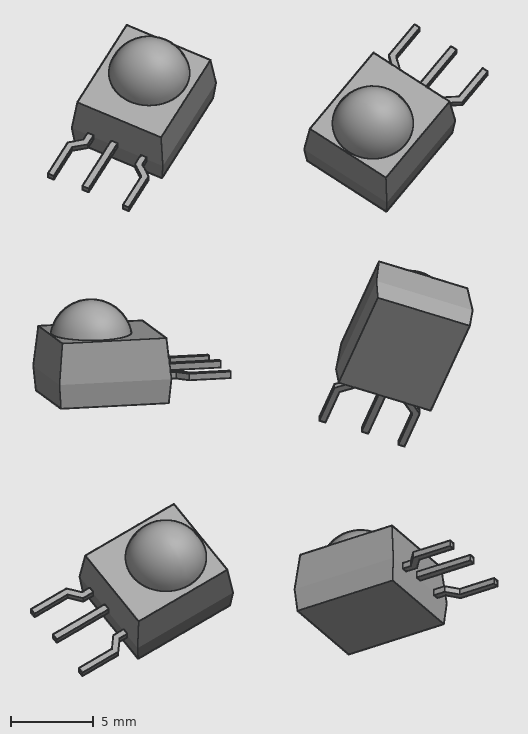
import cadquery as cq
import math

body_width = 6.2
body_length = 7.0
upper_height = 2.5
lower_height = 1.5
upper_inset = 0.25
lower_inset = 0.13

dome_radius = 2.5
dome_rise = 2.01
dome_to_back = 2.8

total_length = 10.8
lead_length = total_length - body_length
lead_thickness = 0.4
side_lead_width = 0.4
middle_lead_width = 0.43
middle_lead_x = -0.19
side_root_x = 1.8
side_tip_x = 2.55
bend_start = 0.67
bend_end = 1.29

front_y = -body_length / 2


def tapered_block(height, inset):
    """Block on the parting plane, narrowed by the inset on every side at its far end."""
    return (
        cq.Workplane("XY")
        .rect(body_width, body_length)
        .workplane(offset=height)
        .rect(body_width - 2 * inset, body_length - 2 * inset)
        .loft(ruled=True)
    )


def make_housing():
    """Moulded housing with its dome lens."""
    dome_y = body_length / 2 - dome_to_back
    dome_z = upper_height + dome_rise - dome_radius
    dome = cq.Workplane("XY").sphere(dome_radius).translate((0, dome_y, dome_z))
    keep = (
        cq.Workplane("XY")
        .box(body_width, body_length, upper_height + dome_rise, centered=(True, True, False))
    )
    upper = tapered_block(upper_height, upper_inset)
    lower = tapered_block(-lower_height, lower_inset)
    return upper.union(lower).union(dome.intersect(keep)).solids()


def make_middle_lead():
    """Straight lead with its underside level with the parting plane."""
    return (
        cq.Workplane("XY")
        .box(middle_lead_width, lead_length, lead_thickness, centered=(True, False, False))
        .translate((middle_lead_x, front_y - lead_length, 0))
    )


def make_side_lead(side):
    """Cranked lead centred on the parting plane; side is -1 for left and 1 for right."""
    half_width = side_lead_width / 2
    crank_turn = math.atan2(side_tip_x - side_root_x, bend_end - bend_start)
    miter = half_width * math.tan(crank_turn / 2)
    root_outer = side * (side_root_x + half_width)
    root_inner = side * (side_root_x - half_width)
    tip_outer = side * (side_tip_x + half_width)
    tip_inner = side * (side_tip_x - half_width)
    return (
        cq.Workplane("XY", origin=(0, front_y, -lead_thickness / 2))
        .moveTo(root_outer, 0)
        .lineTo(root_outer, miter - bend_start)
        .lineTo(tip_outer, miter - bend_end)
        .lineTo(tip_outer, -lead_length)
        .lineTo(tip_inner, -lead_length)
        .lineTo(tip_inner, -miter - bend_end)
        .lineTo(root_inner, -miter - bend_start)
        .lineTo(root_inner, 0)
        .close()
        .extrude(lead_thickness)
    )


housing = make_housing()
middle_lead = make_middle_lead()
side_leads = [make_side_lead(side) for side in (-1, 1)]

result = cq.Compound.makeCompound(
    [housing.val(), middle_lead.val(), *[lead.val() for lead in side_leads]]
)